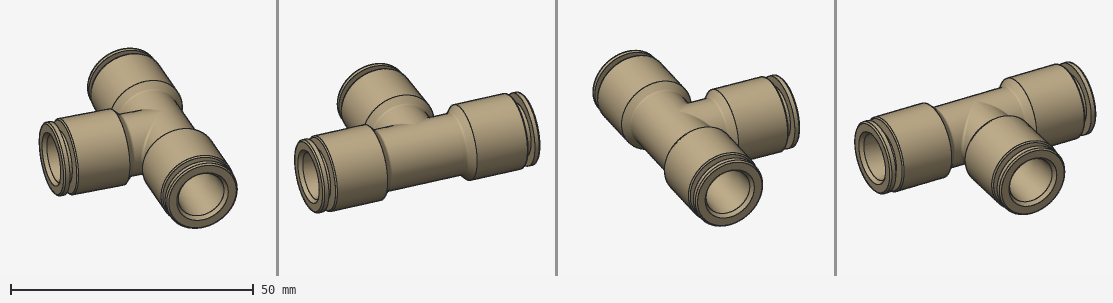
import cadquery as cq

run_length = 48.6
reach = run_length / 2

body_radius = 7.995
pipe_radius = 6.5
release_ring_radius = 7.75
neck_radius = 5.7
bore_radius = 4.4
mouth_radius = 5.65
bore_entry_radius = 5.0

ring_thickness = 1.25
body_start = 2.55
body_rim_start = 2.75
body_end = 14.3

ring_chamfer = 0.35
body_chamfer = 0.3
mouth_depth = 0.85
root_fillet = 0.5
crotch_fillet = 0.5

cone_end = reach - body_end - (body_radius - pipe_radius)
pipe_end = cone_end - 2 * root_fillet

ROTATIONS = (0, 90, -90)


def outlet(branch, angle):
    """Turn a branch built along -Y to the wanted direction."""
    return branch.rotate((0, 0, 0), (0, 0, 1), angle)


def tee_core():
    """Run pipe and branch pipe, with the crotch between them rounded."""
    run = cq.Workplane("YZ").circle(pipe_radius).extrude(pipe_end, both=True)
    branch = cq.Workplane("XZ").circle(pipe_radius).extrude(pipe_end)
    core = run.union(branch)
    limit = 1.1 * pipe_radius
    front_gap = 0.1 * pipe_radius
    crotch = cq.selectors.BoxSelector((-limit, -limit, -limit), (limit, -front_gap, limit))
    return core.edges(crotch).fillet(crotch_fillet)


def end_fitting():
    """Body, neck and release ring revolved about the -Y axis."""
    body_rim = reach - body_rim_start
    ring_back = reach - ring_thickness
    profile = (
        cq.Workplane("XY")
        .moveTo(0, -pipe_end)
        .lineTo(pipe_radius, -pipe_end)
        .lineTo(pipe_radius, -cone_end)
        .lineTo(body_radius, -(reach - body_end))
        .lineTo(body_radius, -(body_rim - body_chamfer))
        .lineTo(body_radius - body_chamfer, -body_rim)
        .lineTo(neck_radius, -(reach - body_start))
        .lineTo(neck_radius, -ring_back)
        .lineTo(release_ring_radius, -ring_back)
        .lineTo(release_ring_radius, -(reach - ring_chamfer))
        .lineTo(release_ring_radius - ring_chamfer, -reach)
        .lineTo(0, -reach)
        .close()
    )
    solid = profile.revolve(360, (0, 0, 0), (0, 1, 0))
    margin = 0.1 * root_fillet
    root = cq.selectors.BoxSelector(
        (-body_radius, -cone_end - margin, -body_radius),
        (body_radius, -cone_end + margin, body_radius),
    )
    return solid.edges(root).fillet(root_fillet)


def end_bore():
    """Bore from the tee centre, tapering out to a chamfered mouth."""
    profile = (
        cq.Workplane("XY")
        .lineTo(bore_radius, 0)
        .lineTo(bore_radius, -(reach - body_end))
        .lineTo(bore_entry_radius, -(reach - mouth_depth))
        .lineTo(mouth_radius, -reach)
        .lineTo(0, -reach)
        .close()
    )
    return profile.revolve(360, (0, 0, 0), (0, 1, 0))


result = tee_core()
for angle in ROTATIONS:
    result = result.union(outlet(end_fitting(), angle))
for angle in ROTATIONS:
    result = result.cut(outlet(end_bore(), angle))